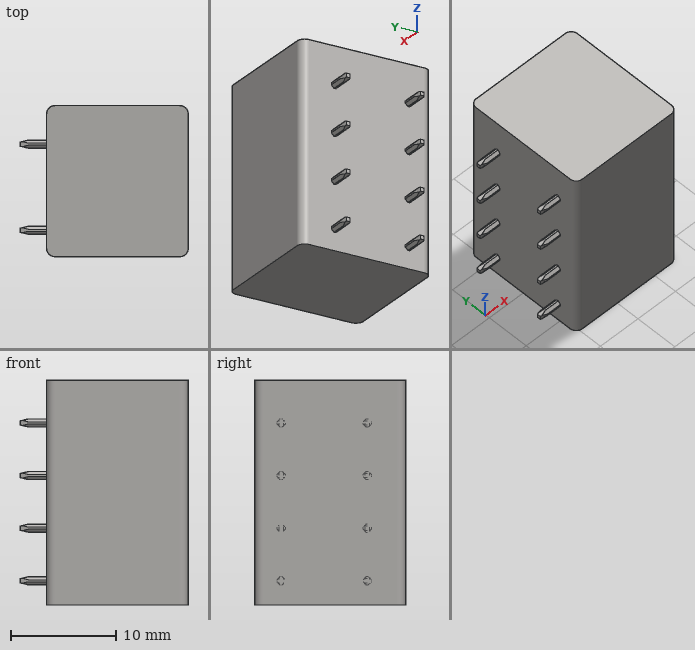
import cadquery as cq

HOUSING_X = 13.5
HOUSING_Y = 14.4
HOUSING_Z = 21.4
EDGE_RADIUS = 0.81

PIN_LENGTH = 2.5
PIN_WIDTH = 0.8
PIN_CHAMFER = 0.3
TIP_WIDTH = 0.4
TAPER_LENGTH = 0.8

ROW_COUNT = 4
ROW_PITCH = 5.0
COLUMN_COUNT = 2
COLUMN_PITCH = 8.2
GRID_CENTER_Y = -0.58
GRID_CENTER_Z = -0.88


def make_housing():
    """Solid block with its four vertical edges rounded."""
    block = cq.Workplane("XY").box(HOUSING_X, HOUSING_Y, HOUSING_Z)
    return block.edges("|Z").fillet(EDGE_RADIUS)


def make_pin():
    """Pin pointing along -X, with the centre of its root at the origin."""
    shank_length = PIN_LENGTH - TAPER_LENGTH
    root_plane = cq.Workplane("YZ")
    chamfered_bar = (
        root_plane.rect(PIN_WIDTH, PIN_WIDTH)
        .extrude(-PIN_LENGTH)
        .edges("|X")
        .chamfer(PIN_CHAMFER)
    )
    square_shank = root_plane.rect(PIN_WIDTH, PIN_WIDTH).extrude(-shank_length)
    taper = (
        root_plane.workplane(offset=-PIN_LENGTH)
        .rect(TIP_WIDTH, TIP_WIDTH)
        .workplane(offset=TAPER_LENGTH)
        .rect(PIN_WIDTH, PIN_WIDTH)
        .loft(ruled=True)
    )
    return chamfered_bar.intersect(square_shank.union(taper))


def centered_positions(center, count, pitch):
    """Evenly spaced coordinates, symmetric about the center."""
    first = center - (count - 1) * pitch / 2
    return [first + index * pitch for index in range(count)]


result = make_housing()
pin = make_pin()
for pin_z in centered_positions(GRID_CENTER_Z, ROW_COUNT, ROW_PITCH):
    for pin_y in centered_positions(GRID_CENTER_Y, COLUMN_COUNT, COLUMN_PITCH):
        result = result.union(pin.translate((-HOUSING_X / 2, pin_y, pin_z)))